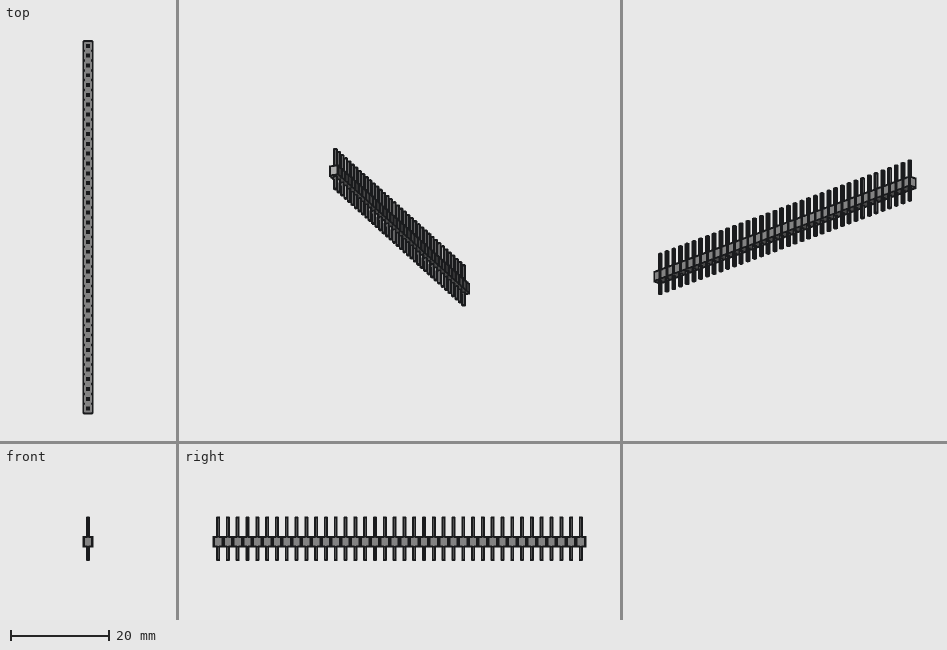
import cadquery as cq

pin_count = 38
strip_length = 76.0
pitch = strip_length / pin_count

body_width = 2.0
body_height = 2.0
corner_chamfer = 0.205

pin_side = 0.5
pin_length = 8.8
pin_above_body = 4.0
tip_chamfer = 0.13

body_bottom = pin_length - pin_above_body - body_height


def body_block():
    """Block one pitch long with its four vertical corners chamfered."""
    return (
        cq.Workplane("XY", origin=(0, 0, body_bottom))
        .rect(body_width, pitch)
        .extrude(body_height)
        .edges("|Z")
        .chamfer(corner_chamfer)
    )


def pin():
    """Square pin standing on Z = 0, chamfered on all sides at both ends."""
    return (
        cq.Workplane("XY")
        .rect(pin_side, pin_side)
        .extrude(pin_length)
        .faces("<Z or >Z")
        .chamfer(tip_chamfer)
    )


cell = body_block().union(pin())

result = cell
for index in range(1, pin_count):
    result = result.union(cell.translate((0, index * pitch, 0)))